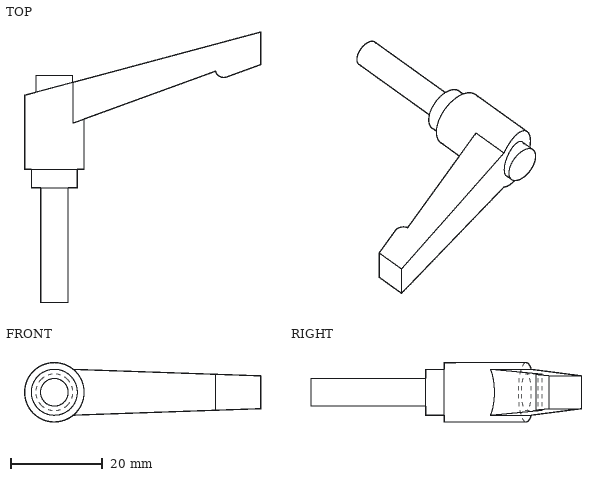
import cadquery as cq
import math

hub_diameter = 13.0
collar_diameter = 10.05
stud_diameter = 6.0
cap_diameter = 8.0
stud_length = 25.0
collar_length = 4.0
cap_top = 24.5

overall_length = 59.0
overall_width = 51.5
top_angle = 15.0
underside_angle = 20.0
root_x = 4.2
root_depth = 8.9
root_height = 10.05
tip_height = 7.2
tip_depth = 7.15
bump_start_x = 35.1
bump_end_x = 37.6

hub_radius = hub_diameter / 2
tip_x = overall_width - hub_radius
tip_y = overall_length - stud_length
top_slope = math.tan(math.radians(top_angle))
underside_slope = math.tan(math.radians(underside_angle))


def top_y(x):
    """Height of the slanted top face shared by the hub and the arm."""
    return tip_y - (tip_x - x) * top_slope


def cylinder(diameter, start_y, end_y):
    plane = cq.Plane(origin=(0, start_y, 0), xDir=(1, 0, 0), normal=(0, 1, 0))
    return cq.Workplane(plane).circle(diameter / 2).extrude(end_y - start_y)


def make_hub():
    blank = cylinder(hub_diameter, collar_length, tip_y)
    below_slant = (
        cq.Workplane("XY")
        .moveTo(-hub_radius, 0)
        .lineTo(hub_radius, 0)
        .lineTo(hub_radius, top_y(hub_radius))
        .lineTo(-hub_radius, top_y(-hub_radius))
        .close()
        .extrude(hub_radius, both=True)
    )
    return blank.intersect(below_slant)


def make_arm():
    root_bottom = top_y(root_x) - root_depth
    tip_bottom = tip_y - tip_depth
    bump_start_y = root_bottom + (bump_start_x - root_x) * underside_slope
    bump_end_y = tip_bottom - (tip_x - bump_end_x) * underside_slope
    profile = (
        cq.Workplane("XY")
        .moveTo(0, top_y(0))
        .lineTo(tip_x, tip_y)
        .lineTo(tip_x, tip_bottom)
        .lineTo(bump_end_x, bump_end_y)
        .tangentArcPoint((bump_start_x, bump_start_y), relative=False)
        .lineTo(root_x, root_bottom)
        .lineTo(0, root_bottom)
        .close()
        .extrude(hub_radius, both=True)
    )
    taper = (
        cq.Workplane("XZ")
        .moveTo(0, root_height / 2)
        .lineTo(root_x, root_height / 2)
        .lineTo(tip_x, tip_height / 2)
        .lineTo(tip_x, -tip_height / 2)
        .lineTo(root_x, -root_height / 2)
        .lineTo(0, -root_height / 2)
        .close()
        .extrude(-tip_y)
    )
    return profile.intersect(taper)


stud = cylinder(stud_diameter, -stud_length, collar_length)
collar = cylinder(collar_diameter, 0, collar_length)
cap = cylinder(cap_diameter, collar_length, cap_top)

result = make_hub().union(collar).union(stud).union(cap).union(make_arm())